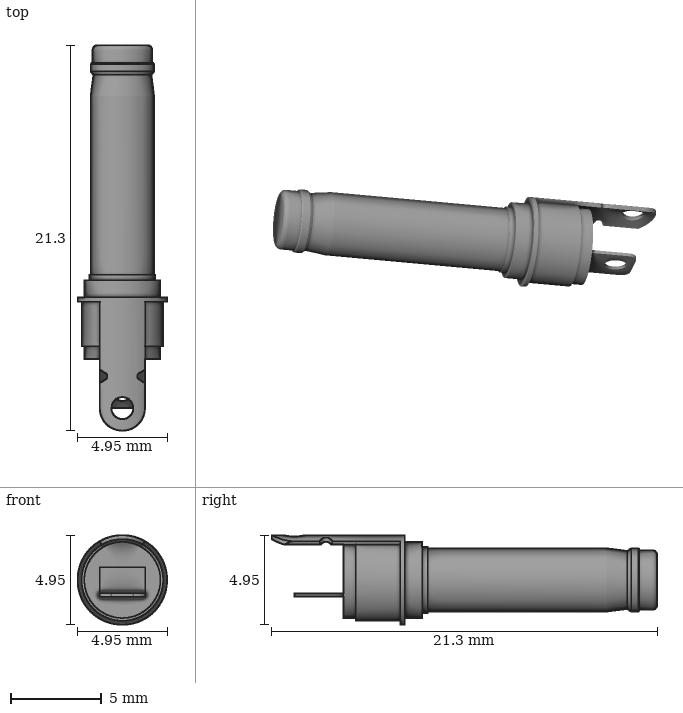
import cadquery as cq
import math


head_end = 0.98
bead_flat_end = 1.44
bead_end = 1.64
neck_end = 2.80
barrel_end = 12.65
pilot_end = 12.95
flange_start = 13.90
flange_end = 14.15
sleeve_end = 16.60
core_end = 17.30

head_radius = 1.65
head_rounding = 0.28
bead_radius = 1.75
bead_front_chamfer = 0.06
neck_start_radius = 1.60
neck_middle_radius = 1.68
barrel_radius = 1.75
pilot_radius = 1.825
core_radius = 2.10
sleeve_radius = 2.25
flange_radius = 2.475

tag_width = 2.50
wire_hole_radius = 0.60

ground_tag_end = 21.25
ground_hole_depth = ground_tag_end - tag_width / 2
notch_depth = 18.25
notch_triangle_radius = 1.00
notch_point_depth = 0.63
notch_root_radius = 0.20

contact_top = 0.70
contact_bottom = -0.92
contact_block_length = 2.00
contact_tag_thickness = 0.18
contact_tag_end = 20.00
contact_tag_corner = 0.50
contact_hole_inset = 1.00
contact_hole_depth = contact_tag_end - contact_hole_inset


def cylinder(radius, start, end):
    """Cylinder on the Y axis between two depths."""
    return cq.Workplane("XZ", origin=(0, -start, 0)).circle(radius).extrude(end - start)


def block(width, start, end, bottom, top):
    """Box centred on X = 0 between two depths and two heights."""
    corner = (-width / 2, -end, bottom)
    return cq.Workplane("XY", origin=corner).box(width, end - start, top - bottom, centered=False)


def vertical_pin(radius, x, depth):
    """Cylinder along Z, tall enough to pass through either tag."""
    height = 2 * flange_radius
    return cq.Workplane("XY", origin=(x, -depth, -flange_radius)).circle(radius).extrude(height)


def make_barrel():
    """Turned plug barrel: rounded head, raised bead, waisted neck and a plain shank."""
    bend = head_rounding * (1 - math.sqrt(0.5))
    return (
        cq.Workplane("XY")
        .lineTo(head_radius - head_rounding, 0)
        .threePointArc((head_radius - bend, -bend), (head_radius, -head_rounding))
        .lineTo(head_radius, -head_end)
        .lineTo(bead_radius - bead_front_chamfer, -head_end)
        .lineTo(bead_radius, -head_end - bead_front_chamfer)
        .lineTo(bead_radius, -bead_flat_end)
        .lineTo(neck_start_radius, -bead_end)
        .threePointArc((neck_middle_radius, -(bead_end + neck_end) / 2), (barrel_radius, -neck_end))
        .lineTo(barrel_radius, -barrel_end)
        .lineTo(0, -barrel_end)
        .close()
        .revolve(360, (0, 0, 0), (0, 1, 0))
    )


def make_tag_sector():
    """Wedge along the axis that gives the ground tag side faces pointing at the axis."""
    half_width = tag_width
    height = 2 * math.sqrt(flange_radius**2 - (tag_width / 2) ** 2)
    return (
        cq.Workplane("XZ", origin=(0, -flange_start, 0))
        .polyline([(0, 0), (half_width, height), (-half_width, height)])
        .close()
        .extrude(ground_tag_end - flange_start)
    )


def make_notch():
    """Three-sided prism with rounded corners, one of them cutting into the -X edge of the tag."""
    centre_x = -tag_width / 2 + notch_point_depth - notch_triangle_radius
    return (
        cq.Workplane("XY", origin=(centre_x, -notch_depth, 0))
        .polygon(3, 2 * notch_triangle_radius)
        .extrude(flange_radius)
        .edges("|Z")
        .fillet(notch_root_radius)
    )


def make_ground_lug():
    """Flange ring around the core with a curved solder tag running back from its top."""
    ring = cylinder(flange_radius, flange_start, flange_end).cut(
        cylinder(core_radius, flange_start, flange_end)
    )
    tube = cylinder(flange_radius, flange_start, ground_tag_end).cut(
        cylinder(sleeve_radius, flange_start, ground_tag_end)
    )
    strip = block(tag_width, flange_start, ground_hole_depth, 0, flange_radius)
    rounded_end = vertical_pin(tag_width / 2, 0, ground_hole_depth)
    tag = tube.intersect(make_tag_sector()).intersect(strip.union(rounded_end))
    tag = tag.cut(vertical_pin(wire_hole_radius, 0, ground_hole_depth))
    notch = make_notch()
    tag = tag.cut(notch).cut(notch.mirror("YZ"))
    return ring.union(tag)


def make_contact():
    """Centre contact: a block flush with the back of the core and a flat solder tag."""
    body = block(tag_width, core_end - contact_block_length, core_end, contact_bottom, contact_top)
    tag_top = contact_bottom + contact_tag_thickness
    tag = block(tag_width, core_end, contact_tag_end, contact_bottom, tag_top)
    tag = tag.faces("<Y").edges("|Z").fillet(contact_tag_corner)
    tag = tag.cut(vertical_pin(wire_hole_radius, 0, contact_hole_depth))
    return body.union(tag)


def make_core(contact):
    """Insulating core: stepped front, passes through the flange, with a pocket for the contact."""
    pilot = cylinder(pilot_radius, barrel_end, pilot_end)
    return pilot.union(cylinder(core_radius, pilot_end, core_end)).cut(contact)


def make_sleeve():
    """Insulating ring on the core, behind the flange and under the ground tag."""
    return cylinder(sleeve_radius, flange_end, sleeve_end).cut(
        cylinder(core_radius, flange_end, sleeve_end)
    )


barrel = make_barrel()
ground_lug = make_ground_lug()
contact = make_contact()
core = make_core(contact)
sleeve = make_sleeve()

result = cq.Compound.makeCompound(
    [barrel.val(), ground_lug.val(), contact.val(), core.val(), sleeve.val()]
)